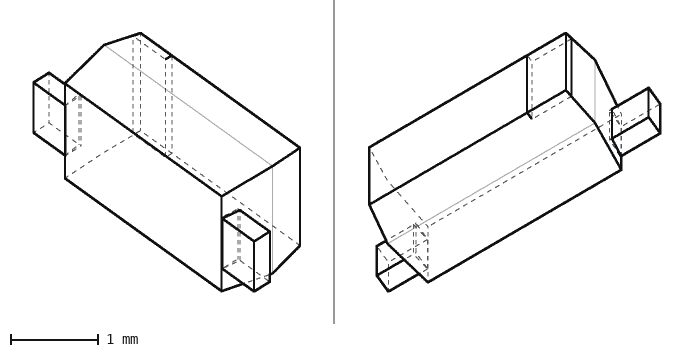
import cadquery as cq

overall_length = 3.69
body_length = 2.815
body_height = 1.65
body_depth = 1.2

front_depth = 0.7
back_depth = body_depth - front_depth
front_inset = 0.095
back_inset = 0.075

lead_height = 0.77
lead_thickness = 0.245
lead_setback = 0.007

band_thickness = 0.1
band_reach = 0.598

front_y = -front_depth
back_y = back_depth
front_half_length = body_length / 2 - front_inset
lead_length = overall_length / 2 - front_half_length
band_height = body_height - 2 * back_inset


def block(x_start, y_start, length, depth, height):
    """Box starting at the given X and Y, centred on Z = 0."""
    return cq.Workplane("XY").box(length, depth, height, centered=(False, False, True)).translate(
        (x_start, y_start, 0)
    )


def tapered_half(face_y, inset):
    """Half of the body, from the parting plane to a face inset on all four sides."""
    return (
        cq.Workplane("XZ")
        .rect(body_length, body_height)
        .workplane(offset=-face_y)
        .rect(body_length - 2 * inset, body_height - 2 * inset)
        .loft(ruled=True)
    )


def make_lead(side):
    """Lead on one end: side is -1 for -X and +1 for +X."""
    x_start = front_half_length if side > 0 else -overall_length / 2
    return block(x_start, front_y + lead_setback, lead_length, lead_thickness, lead_height)


def make_blank():
    """Double-tapered body before any recess is cut."""
    return tapered_half(front_y, front_inset).union(tapered_half(back_y, back_inset))


def make_band(blank):
    """Polarity band flush with the back face and with the tapered -X side."""
    slab = block(-body_length / 2, back_y - band_thickness, band_reach, band_thickness, band_height)
    return slab.intersect(blank)


def make_body(blank, inserts):
    """Body with a recess matching each inserted part."""
    body = blank
    for insert in inserts:
        body = body.cut(insert)
    return body


blank = make_blank()
leads = [make_lead(side) for side in (-1, 1)]
band = make_band(blank)
body = make_body(blank, [*leads, band])

result = cq.Compound.makeCompound(
    [body.solids().val(), *[lead.val() for lead in leads], band.solids().val()]
)